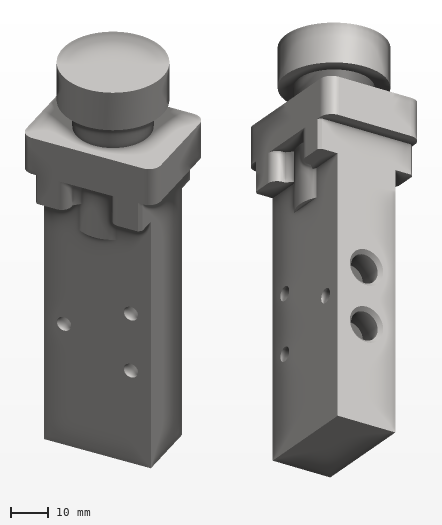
import cadquery as cq

body_top = 69.2
neck_top = 78.0
mount_top = 87.0
cap_top = 98.4
stem_top = 106.6
knob_top = 118.5

body_width = 31.8
body_depth = 18.2
neck_diameter = 21.3

mount_depth = 30.0
mount_corner_diameter = 42.4
relief_half_width = 6.3
relief_lip_radius = 2.8
relief_straight_depth = 3.5

cap_width = 40.0
cap_corner_radius = 3.5
stem_diameter = 21.7
knob_diameter = 30.0

fixing_diameter = 4.3
fixing_offset = 10.0
fixing_middle_height = 38.2
fixing_spacing = 9.0

port_diameter = 8.4
port_mouth_diameter = 10.5
port_depth = 8.3
port_heights = (29.6, 46.6)


def block(width, depth, bottom, top):
    """Rectangular block centred on the Z axis."""
    base = cq.Workplane("XY").workplane(offset=bottom)
    return base.rect(width, depth).extrude(top - bottom)


def disc(diameter, bottom, top):
    """Cylinder on the Z axis."""
    base = cq.Workplane("XY").workplane(offset=bottom)
    return base.circle(diameter / 2).extrude(top - bottom)


def front_relief():
    """V-bottomed relief with rounded lips in the -Y face of the mounting plate."""
    face_y = -mount_depth / 2
    lip_x = relief_half_width + relief_lip_radius
    lip_y = face_y + relief_lip_radius
    wall_end_y = face_y + relief_straight_depth
    point_y = wall_end_y + relief_half_width
    return (
        cq.Workplane("XY")
        .workplane(offset=neck_top)
        .moveTo(-lip_x, face_y)
        .radiusArc((-relief_half_width, lip_y), -relief_lip_radius)
        .lineTo(-relief_half_width, wall_end_y)
        .lineTo(0, point_y)
        .lineTo(relief_half_width, wall_end_y)
        .lineTo(relief_half_width, lip_y)
        .radiusArc((lip_x, face_y), -relief_lip_radius)
        .close()
        .extrude(mount_top - neck_top)
    )


def mounting_plate():
    """Plate with corners trimmed by a cylinder and reliefs front and back."""
    plate = block(body_width, mount_depth, neck_top, mount_top)
    plate = plate.intersect(disc(mount_corner_diameter, neck_top, mount_top))
    relief = front_relief()
    return plate.cut(relief).cut(relief.mirror("XZ"))


def push_button():
    """Stem with a wider round knob on top."""
    button = disc(stem_diameter, cap_top, stem_top)
    return button.union(disc(knob_diameter, stem_top, knob_top))


def fixing_holes():
    """Three holes along Y: one on the -X side and a pair on the +X side."""
    centres = [
        (-fixing_offset, fixing_middle_height),
        (fixing_offset, fixing_middle_height - fixing_spacing),
        (fixing_offset, fixing_middle_height + fixing_spacing),
    ]
    return (
        cq.Workplane("XZ")
        .pushPoints(centres)
        .circle(fixing_diameter / 2)
        .extrude(body_depth / 2, both=True)
    )


def port(height):
    """Blind port along X with a 45-degree countersunk mouth."""
    mouth_radius = port_mouth_diameter / 2
    bore_radius = port_diameter / 2
    mouth_depth = mouth_radius - bore_radius
    face = cq.Workplane("YZ", origin=(-body_width / 2, 0, height))
    bore = face.circle(bore_radius).extrude(port_depth)
    mouth = face.circle(mouth_radius).workplane(offset=mouth_depth).circle(bore_radius).loft()
    return bore.union(mouth)


body = block(body_width, body_depth, 0, neck_top)
body = body.union(disc(neck_diameter, body_top, mount_top))
cap = block(cap_width, mount_depth, mount_top, cap_top).edges("|Z").fillet(cap_corner_radius)

result = body.union(mounting_plate()).union(cap).union(push_button())
result = result.cut(fixing_holes())
for port_height in port_heights:
    result = result.cut(port(port_height))